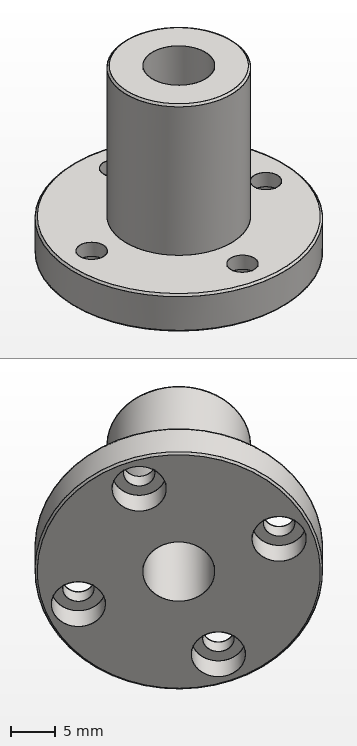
import cadquery as cq

flange_diameter = 32.0
total_height = 25.0
flange_thickness = 5.0
sleeve_diameter = 16.0
bore_diameter = 8.0
edge_chamfer = 0.25

screw_hole_count = 4
screw_hole_diameter = 3.5
screw_circle_diameter = 24.0
counterbore_diameter = 6.0
counterbore_depth = 3.1


def make_flange():
    """Round flange with both rims chamfered."""
    disc = cq.Workplane("XY").circle(flange_diameter / 2).extrude(flange_thickness)
    return disc.edges().chamfer(edge_chamfer)


def make_sleeve():
    """Central sleeve with its top rim chamfered."""
    cylinder = cq.Workplane("XY").circle(sleeve_diameter / 2).extrude(total_height)
    return cylinder.faces(">Z").edges().chamfer(edge_chamfer)


def make_bore():
    """Through bore along the part's axis."""
    return cq.Workplane("XY").circle(bore_diameter / 2).extrude(total_height)


def make_screw_circle_pins(diameter, height):
    """Pins rising from the base, evenly spaced on the screw circle."""
    return (
        cq.Workplane("XY")
        .polarArray(screw_circle_diameter / 2, 0, 360, screw_hole_count)
        .circle(diameter / 2)
        .extrude(height)
    )


screw_holes = make_screw_circle_pins(screw_hole_diameter, flange_thickness)
counterbores = make_screw_circle_pins(counterbore_diameter, counterbore_depth)

result = make_flange().union(make_sleeve()).cut(make_bore()).cut(screw_holes).cut(counterbores)